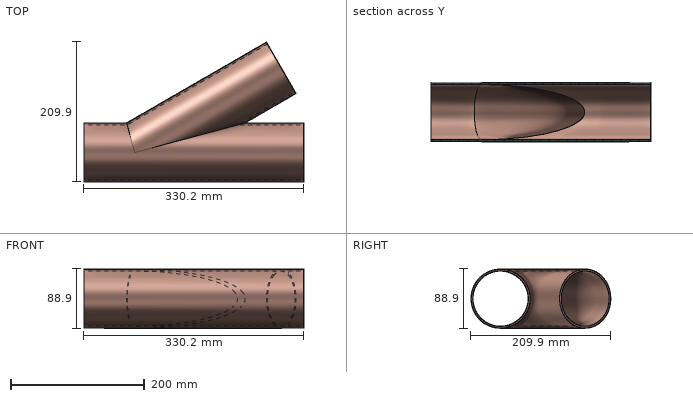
import cadquery as cq
import math

outer_diameter = 88.9
inner_diameter = 82.8
run_length = 330.2
branch_angle = 30.0
branch_offset = 76.2
branch_length = 254.0

run_direction = cq.Vector(1, 0, 0)
branch_direction = cq.Vector(
    math.cos(math.radians(branch_angle)),
    math.sin(math.radians(branch_angle)),
    0,
)
run_start = cq.Vector(0, 0, 0)
axes_meeting_point = run_start + run_direction * branch_offset


def wye_solid(diameter):
    """Run and branch cylinders of one diameter, joined where their axes meet.

    The branch starts at the meeting point, so its flat start is inside the run.
    """
    radius = diameter / 2
    run = cq.Solid.makeCylinder(radius, run_length, run_start, run_direction)
    branch = cq.Solid.makeCylinder(radius, branch_length, axes_meeting_point, branch_direction)
    return cq.Workplane(obj=run).union(cq.Workplane(obj=branch))


result = wye_solid(outer_diameter).cut(wye_solid(inner_diameter))